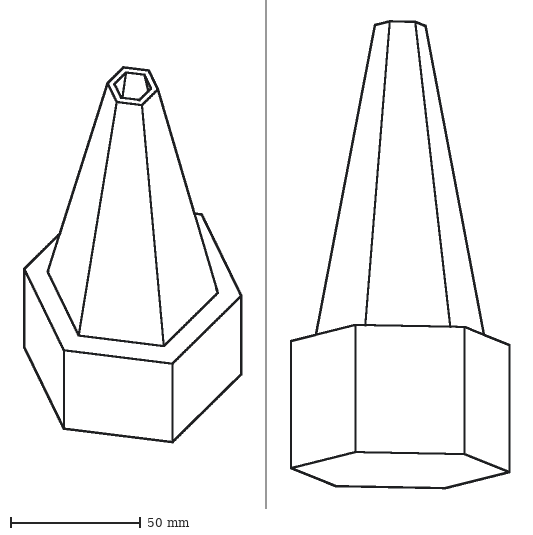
import cadquery as cq

total_height = 175.0
base_height = 50.0
base_corners = 85.0
spire_bottom_corners = 66.7
spire_top_corners = 19.8
bore_top_corners = 14.4

spire_height = total_height - base_height

wall_corner_allowance = spire_top_corners - bore_top_corners
bore_bottom_corners = spire_bottom_corners - wall_corner_allowance


def hexagonal_frustum(bottom_corners, top_corners):
    """Hexagonal loft standing on the base and reaching the top of the part."""
    return (
        cq.Workplane("XY")
        .workplane(offset=base_height)
        .polygon(6, bottom_corners)
        .workplane(offset=spire_height)
        .polygon(6, top_corners)
        .loft(ruled=True)
    )


def make_base():
    """Solid hexagonal block whose top face closes the bottom of the spire."""
    return cq.Workplane("XY").polygon(6, base_corners).extrude(base_height)


def make_spire():
    """Tapered hexagonal tube, open at the top."""
    outside = hexagonal_frustum(spire_bottom_corners, spire_top_corners)
    bore = hexagonal_frustum(bore_bottom_corners, bore_top_corners)
    return outside.cut(bore)


base = make_base()
spire = make_spire()

result = cq.Compound.makeCompound([base.val(), *spire.solids().vals()])